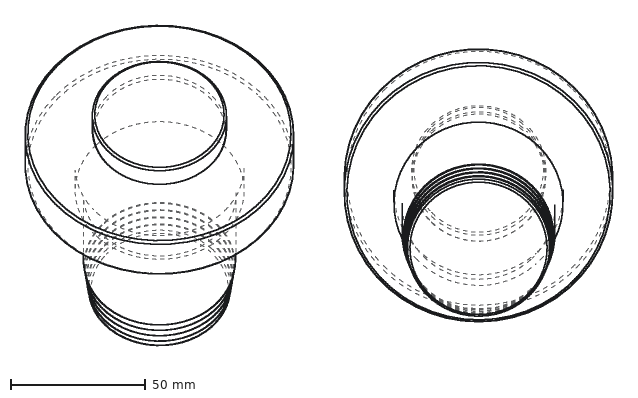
import cadquery as cq
import math

total_height = 112.0

boss_radius = 25.0
boss_height = 12.0
boss_chamfer = 0.9
neck_radius = 24.6
neck_height = 1.5
neck_fillet = 0.8
underside_height = 0.9
underside_blend = 1.1

flange_radius = 50.01
flange_thickness = 21.0
flange_chamfer = 1.0

recess_radius = 26.8
recess_depth = 0.2

collar_radius = 31.5
collar_bottom = 63.5
collar_fillet = 0.3
collar_taper_angle = 30.0

barrel_radius = 28.5
barrel_fillet = 1.1

tip_radius = 26.4
tip_chamfer = 0.9
band_count = 5
band_height = 4.0
band_step = 0.2

level_tolerance = 0.1

flange_top = total_height - boss_height
flange_bottom = flange_top - flange_thickness
neck_top = flange_top + neck_height
neck_step = boss_radius - neck_radius
taper_height = (collar_radius - barrel_radius) * math.tan(math.radians(collar_taper_angle))
taper_bottom = collar_bottom - taper_height
band_pitch = (barrel_radius - tip_radius) / band_count


def cylinder(radius, bottom, top):
    """Upright cylinder on the Z axis between two levels."""
    return cq.Workplane("XY").workplane(offset=bottom).circle(radius).extrude(top - bottom)


def cone(bottom_radius, top_radius, bottom, top):
    """Upright truncated cone on the Z axis between two levels."""
    profile = [(0, bottom), (bottom_radius, bottom), (top_radius, top), (0, top)]
    return cq.Workplane("XZ").polyline(profile).close().revolve(360, (0, 0), (0, 1))


def at_level(height):
    """Selector for the horizontal edges at one level."""
    return cq.selectors.BoxSelector(
        (-flange_radius, -flange_radius, height - level_tolerance),
        (flange_radius, flange_radius, height + level_tolerance),
        boundingbox=True,
    )


def make_flange():
    """Chamfered disc with a shallow conical relief in its top face around the neck."""
    disc = cylinder(flange_radius, flange_bottom, flange_top).edges().chamfer(flange_chamfer)
    relief = cone(neck_radius + neck_fillet, recess_radius, flange_top - recess_depth, flange_top)
    return disc.cut(relief)


def make_boss():
    """Round boss with a bevelled underside, on a narrower neck that flares into the relief."""
    head = cylinder(boss_radius, neck_top, total_height)
    head = head.faces(">Z").edges().chamfer(boss_chamfer)
    head = head.faces("<Z").edges().chamfer(underside_height, neck_step)
    neck_bottom = flange_top - recess_depth
    neck = (
        cq.Workplane("XZ")
        .moveTo(0, neck_bottom)
        .lineTo(neck_radius + neck_fillet, neck_bottom)
        .radiusArc((neck_radius, neck_bottom + neck_fillet), neck_fillet)
        .lineTo(neck_radius, neck_top)
        .lineTo(0, neck_top)
        .close()
        .revolve(360, (0, 0), (0, 1))
    )
    boss = head.union(neck)
    return boss.edges(at_level(neck_top)).fillet(underside_blend)


def make_collar():
    """Collar below the flange, filleted into it and tapering down to the barrel."""
    profile = (
        cq.Workplane("XZ")
        .moveTo(0, flange_bottom)
        .lineTo(collar_radius + collar_fillet, flange_bottom)
        .radiusArc((collar_radius, flange_bottom - collar_fillet), -collar_fillet)
        .lineTo(collar_radius, collar_bottom)
        .lineTo(barrel_radius, taper_bottom)
        .lineTo(0, taper_bottom)
        .close()
    )
    return profile.revolve(360, (0, 0), (0, 1))


def make_barrel():
    """Straight barrel above a tip of equal tapered bands, each set in by a small bevelled step."""
    profile = cq.Workplane("XZ").moveTo(0, 0).lineTo(tip_radius - tip_chamfer, 0)
    profile = profile.lineTo(tip_radius, tip_chamfer)
    for band in range(1, band_count):
        step_level = band * band_height
        outer_radius = tip_radius + band * band_pitch
        profile = profile.lineTo(outer_radius - band_step, step_level)
        profile = profile.lineTo(outer_radius, step_level + band_step)
    profile = profile.lineTo(barrel_radius, band_count * band_height)
    profile = profile.lineTo(barrel_radius, taper_bottom).lineTo(0, taper_bottom).close()
    return profile.revolve(360, (0, 0), (0, 1))


result = make_flange().union(make_boss()).union(make_collar()).union(make_barrel())
result = result.edges(at_level(taper_bottom)).fillet(barrel_fillet)